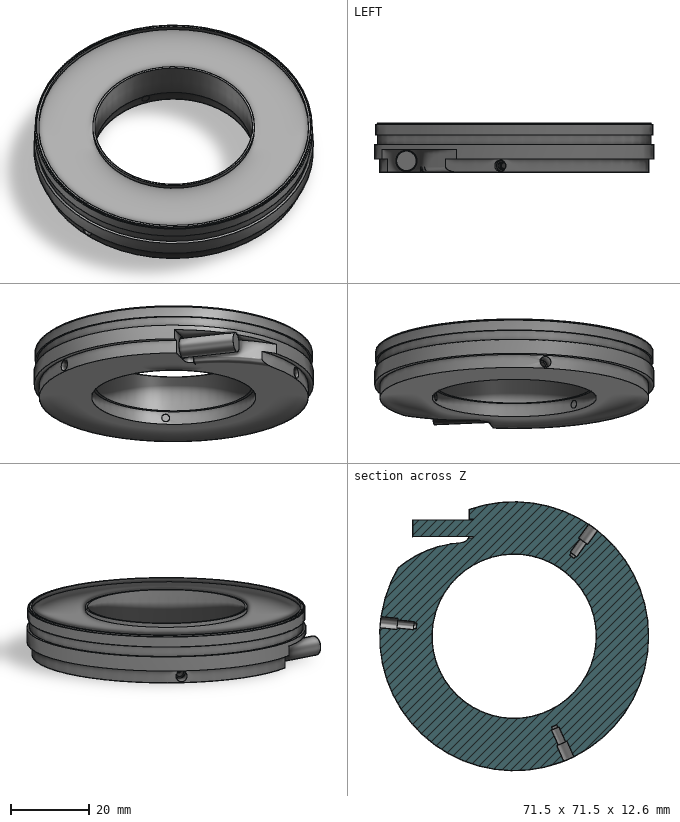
import cadquery as cq
import math

HEIGHT = 12.6
BORE_DIAMETER = 40.4
LOWER_BORE_DIAMETER = 42.0

BASE_DIAMETER = 68.9
BASE_TOP = 3.4
FLANGE_DIAMETER = 71.5
FLANGE_TOP = 7.1
NECK_DIAMETER = 70.1
NECK_TOP = 9.6
HEAD_DIAMETER = 71.0
HEAD_TOP = 12.25

LIP_BOTTOM_DIAMETER = 70.3
LIP_TOP_DIAMETER = 70.1

RECESS_OUTER_DIAMETER = 69.1
RECESS_INNER_DIAMETER = 41.4
RECESS_DEPTH = 1.0

POCKET_HEIGHT = 5.9
POCKET_END_X = -11.5
POCKET_WALL_RADIUS = 28.4
POCKET_WALL_TOP_Y = 24.1
POCKET_CORNER_RADIUS = 2.0
POCKET_EDGE_RADIUS = 1.4
POCKET_OUTER_LIMIT = 40.0

CABLE_DIAMETER = 5.0
CABLE_TIP_X = -26.0
CABLE_Y = 27.6
CABLE_Z = 2.95
CABLE_HOLE_DIAMETER = 5.4
CABLE_HOLE_DEPTH = 1.0

SCREW_COUNT = 3
SCREW_FIRST_ANGLE = 54.0
SCREW_Z = 1.7
SCREW_DIAMETER = 2.8
SCREW_DEPTH = 4.4
SOCKET_DIAMETER = 2.01
SOCKET_DEPTH = 4.2
RELIEF_DIAMETER = 1.4
RELIEF_DEPTH = 0.7
TIP_DIAMETER = 2.01
TIP_PROTRUSION = 0.05


def make_ring():
    """Revolve the stepped section about Z."""
    bore = BORE_DIAMETER / 2
    lower_bore = LOWER_BORE_DIAMETER / 2
    base = BASE_DIAMETER / 2
    flange = FLANGE_DIAMETER / 2
    neck = NECK_DIAMETER / 2
    head = HEAD_DIAMETER / 2
    lip_bottom = LIP_BOTTOM_DIAMETER / 2
    lip_top = LIP_TOP_DIAMETER / 2
    recess_outer = RECESS_OUTER_DIAMETER / 2
    recess_inner = RECESS_INNER_DIAMETER / 2
    recess_floor = HEIGHT - RECESS_DEPTH
    section = [
        (lower_bore, 0),
        (base, 0),
        (base, BASE_TOP),
        (flange, BASE_TOP),
        (flange, FLANGE_TOP),
        (neck, FLANGE_TOP),
        (neck, NECK_TOP),
        (head, NECK_TOP),
        (head, HEAD_TOP),
        (lip_bottom, HEAD_TOP),
        (lip_top, HEIGHT),
        (recess_outer, HEIGHT),
        (recess_outer, recess_floor),
        (recess_inner, recess_floor),
        (recess_inner, HEIGHT),
        (bore, HEIGHT),
        (bore, BASE_TOP),
        (lower_bore, BASE_TOP),
    ]
    return cq.Workplane("XZ").polyline(section).close().revolve(360, (0, 0), (0, 1))


def make_pocket():
    """Pocket with a flat end wall, a rounded corner and a convex inner wall rounded at its lower edge."""
    center_y = POCKET_WALL_TOP_Y - POCKET_WALL_RADIUS
    block = cq.Workplane("XY").box(
        POCKET_OUTER_LIMIT + POCKET_END_X,
        POCKET_OUTER_LIMIT,
        POCKET_HEIGHT,
        centered=False,
    )
    block = block.translate((-POCKET_OUTER_LIMIT, 0, 0))
    core = (
        cq.Workplane("XY", origin=(POCKET_END_X, center_y, 0))
        .circle(POCKET_WALL_RADIUS)
        .extrude(POCKET_HEIGHT)
        .edges("<Z")
        .fillet(POCKET_EDGE_RADIUS)
    )
    reach = POCKET_WALL_RADIUS + POCKET_CORNER_RADIUS
    round_y = center_y + math.sqrt(reach**2 - POCKET_CORNER_RADIUS**2)
    touch_x = POCKET_END_X - POCKET_CORNER_RADIUS * POCKET_WALL_RADIUS / reach
    touch_y = center_y + (round_y - center_y) * POCKET_WALL_RADIUS / reach
    filler = (
        cq.Workplane("XY")
        .moveTo(touch_x, touch_y)
        .radiusArc((POCKET_END_X, round_y), -POCKET_CORNER_RADIUS)
        .lineTo(POCKET_END_X, touch_y - POCKET_EDGE_RADIUS)
        .lineTo(touch_x, touch_y - POCKET_EDGE_RADIUS)
        .close()
        .extrude(POCKET_HEIGHT)
    )
    return block.cut(core).cut(filler)


def cable_cylinder(diameter, start_x, end_x):
    """Cylinder on the cable axis, parallel to X."""
    return (
        cq.Workplane("YZ", origin=(start_x, CABLE_Y, CABLE_Z))
        .circle(diameter / 2)
        .extrude(end_x - start_x)
    )


def add_cable(body):
    """Cable stub running through a clearance hole to its root behind the pocket's end wall."""
    root_x = POCKET_END_X + CABLE_HOLE_DEPTH
    body = body.cut(cable_cylinder(CABLE_HOLE_DIAMETER, CABLE_TIP_X, root_x))
    return body.union(cable_cylinder(CABLE_DIAMETER, CABLE_TIP_X, root_x))


def radial_cylinder(diameter, inner_radius, outer_radius, angle):
    """Cylinder on the screw height, pointing outward at an angle from +X."""
    cylinder = (
        cq.Workplane("YZ", origin=(inner_radius, 0, SCREW_Z))
        .circle(diameter / 2)
        .extrude(outer_radius - inner_radius)
    )
    return cylinder.rotate((0, 0, 0), (0, 0, 1), angle)


def add_set_screws(body):
    """Sunk set screws: an outer hole, a blind socket in the screw, and a flat tip at the bore."""
    screw_end = BASE_DIAMETER / 2 - SCREW_DEPTH
    socket_floor = screw_end - SOCKET_DEPTH
    relief_floor = socket_floor - RELIEF_DEPTH
    tip_end = LOWER_BORE_DIAMETER / 2 - TIP_PROTRUSION
    for index in range(SCREW_COUNT):
        angle = SCREW_FIRST_ANGLE + index * 360 / SCREW_COUNT
        body = body.cut(radial_cylinder(SCREW_DIAMETER, screw_end, FLANGE_DIAMETER / 2, angle))
        body = body.cut(radial_cylinder(SOCKET_DIAMETER, socket_floor, screw_end, angle))
        body = body.union(radial_cylinder(TIP_DIAMETER, tip_end, relief_floor, angle))
        body = body.cut(radial_cylinder(RELIEF_DIAMETER, relief_floor, socket_floor, angle))
    return body


result = add_cable(add_set_screws(make_ring()).cut(make_pocket()))